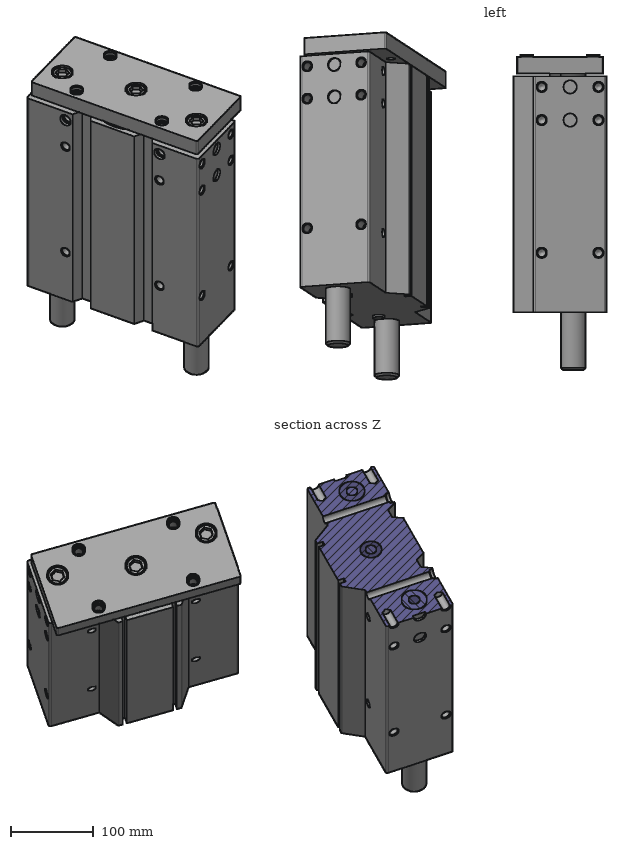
import cadquery as cq
import math


HOUSING_BOTTOM = 69.5
HOUSING_TOP = 354.0
PLATE_BOTTOM = 357.0
PLATE_TOP = 377.2
TOP = 380.0
HOUSING_HEIGHT = HOUSING_TOP - HOUSING_BOTTOM
PLATE_THICKNESS = PLATE_TOP - PLATE_BOTTOM

WIDTH = 240.0
DEPTH = 112.0
FRONT_Y = -DEPTH / 2
BACK_Y = DEPTH / 2
SHELF_Y = 32.3
CORNER_RADIUS = 2.5
RIDGE_HALF_WIDTH = 40.0
RIDGE_CORNER_RADIUS = 0.8
RIDGE_SLOPE = 35
GROOVE_INNER_X = 30.5
GROOVE_OUTER_X = 56.0
GROOVE_DEPTH = 11.8
GROOVE_WALL_ANGLE = 30
SLOT_INNER_X = 29.3
SLOT_OUTER_X = 34.2
SLOT_DEPTH = 7.5

THREAD_DIAMETER = 10.3
THREAD_MOUTH = 12.5
THREAD_CHAMFER = (THREAD_MOUTH - THREAD_DIAMETER) / 2
COUNTERBORE_DIAMETER = 15.0
HOLE_ROW_DROPS = (13.0, 52.8, 212.7)
HOLE_ROWS = [HOUSING_TOP - drop for drop in HOLE_ROW_DROPS]
FRONT_HOLE_X = 65.7
FRONT_COUNTERBORE_DEPTH = 4.5
SIDE_CENTRE_Y = -12.0
SIDE_HOLE_SPACING = 68.5
SIDE_HOLE_DEPTH = 22.8
DRILL_POINT_ANGLE = 118
PORT_DIAMETER = 16.0
PORT_DEPTH = 3.0

RECESS_DIAMETER = 100.0
RECESS_MOUTH = 102.0
RECESS_DEPTH = 2.0
FOOT_X = 63.0
FOOT_DIAMETER = 15.0
FOOT_HEIGHT = 2.5

GUIDE_X = 94.0
GUIDE_Y = -16.0
GUIDE_DIAMETER = 30.0
GUIDE_CHAMFER = 2.5
PISTON_DIAMETER = 25.0
PISTON_INSERTION = 76.0

PLATE_WIDTH = 232.5
PLATE_DEPTH = 104.0
PLATE_CORNER_RADIUS = 2.0
PLATE_HOLE_X = 59.5
PLATE_HOLE_Y = 40.0
COLLAR_DIAMETER = 15.5
PLATE_COUNTERBORE_DEPTH = 6.5

HEAD_DIAMETER = 24.0
HEAD_BORE_DIAMETER = 26.0
HEAD_CHAMFER = 1.0
HEAD_HEIGHT = 11.5
HEAD_RECESS = 1.0
SOCKET_WIDTH = 14.5
SOCKET_DEPTH = 5.7
SHANK_DIAMETER = 12.5
SHANK_LENGTH = 30.5
HEAD_TOP = PLATE_TOP - HEAD_RECESS
HEAD_SEAT = HEAD_TOP - HEAD_HEIGHT

GUIDE_POINTS = [(-GUIDE_X, GUIDE_Y), (GUIDE_X, GUIDE_Y)]
PISTON_POINT = (0, 0)
BOLT_POINTS = GUIDE_POINTS + [PISTON_POINT]


def cylinder(point, diameter, bottom, top):
    """Vertical cylinder at an XY point between two heights."""
    return cq.Workplane("XY", origin=(*point, bottom)).circle(diameter / 2).extrude(top - bottom)


def column(points):
    """Prism of an XY outline over the height of the housing."""
    base = cq.Workplane("XY").workplane(offset=HOUSING_BOTTOM)
    return base.polyline(points).close().extrude(HOUSING_HEIGHT)


def chamfered_cutter(depth, point_height=0.0):
    """Cutter along +Z from the origin: chamfered mouth, thread and an optional drill point."""
    outline = (
        cq.Workplane("XZ")
        .lineTo(THREAD_MOUTH / 2, 0)
        .lineTo(THREAD_DIAMETER / 2, THREAD_CHAMFER)
        .lineTo(THREAD_DIAMETER / 2, depth)
    )
    return outline.lineTo(0, depth + point_height).close().revolve(360, (0, 0), (0, 1))


def counterbored_cutter(depth, counterbore_depth):
    """Cutter along +Z from the origin: counterbore with a chamfered thread below it."""
    counterbore = cq.Workplane("XY").circle(COUNTERBORE_DIAMETER / 2).extrude(counterbore_depth)
    thread = chamfered_cutter(depth - counterbore_depth).translate((0, 0, counterbore_depth))
    return counterbore.union(thread)


def housing_section():
    """Filleted slab with a sloped ridge on its back, two grooves in front and two slots behind."""
    slab = (
        cq.Workplane("XY")
        .box(WIDTH, SHELF_Y - FRONT_Y, HOUSING_HEIGHT, centered=(True, False, False))
        .translate((0, FRONT_Y, HOUSING_BOTTOM))
        .edges("|Z")
        .fillet(CORNER_RADIUS)
    )
    ridge_base = RIDGE_HALF_WIDTH + (BACK_Y - SHELF_Y) * math.tan(math.radians(RIDGE_SLOPE))
    ridge = column([
        (-ridge_base, SHELF_Y),
        (ridge_base, SHELF_Y),
        (RIDGE_HALF_WIDTH, BACK_Y),
        (-RIDGE_HALF_WIDTH, BACK_Y),
    ])
    ridge = ridge.faces(">Y").edges("|Z").fillet(RIDGE_CORNER_RADIUS)
    section = slab.union(ridge)

    wall_run = GROOVE_DEPTH * math.tan(math.radians(GROOVE_WALL_ANGLE))
    for side in (-1, 1):
        groove = column([
            (side * GROOVE_INNER_X, FRONT_Y),
            (side * GROOVE_OUTER_X, FRONT_Y),
            (side * (GROOVE_OUTER_X - wall_run), FRONT_Y + GROOVE_DEPTH),
            (side * (GROOVE_INNER_X + wall_run), FRONT_Y + GROOVE_DEPTH),
        ])
        slot = column([
            (side * SLOT_INNER_X, BACK_Y),
            (side * SLOT_OUTER_X, BACK_Y),
            (side * SLOT_OUTER_X, BACK_Y - SLOT_DEPTH),
            (side * SLOT_INNER_X, BACK_Y - SLOT_DEPTH),
        ])
        section = section.cut(groove).cut(slot)
    return section


def cut_front_holes(body):
    """Threads right through in Y; the top row has a counterbore in front."""
    top_cutter = counterbored_cutter(DEPTH, FRONT_COUNTERBORE_DEPTH)
    lower_cutter = chamfered_cutter(DEPTH)
    row_cutters = [top_cutter, lower_cutter, lower_cutter]
    for z, cutter in zip(HOLE_ROWS, row_cutters):
        into_part = cutter.rotate((0, 0, 0), (1, 0, 0), -90)
        for x in (-FRONT_HOLE_X, FRONT_HOLE_X):
            body = body.cut(into_part.translate((x, FRONT_Y, z)))
    return body


def cut_side_features(body):
    """On each side: three rows of paired blind threads and two shallow ports."""
    point_height = THREAD_DIAMETER / 2 / math.tan(math.radians(DRILL_POINT_ANGLE / 2))
    cutter = chamfered_cutter(SIDE_HOLE_DEPTH, point_height)
    for side in (-1, 1):
        into_part = cutter.rotate((0, 0, 0), (0, 1, 0), -side * 90)
        x = side * WIDTH / 2
        for z in HOLE_ROWS:
            for offset in (-SIDE_HOLE_SPACING / 2, SIDE_HOLE_SPACING / 2):
                body = body.cut(into_part.translate((x, SIDE_CENTRE_Y + offset, z)))
        for z in HOLE_ROWS[:2]:
            port = (
                cq.Workplane("YZ", origin=(x, SIDE_CENTRE_Y, z))
                .circle(PORT_DIAMETER / 2)
                .extrude(-side * PORT_DEPTH)
            )
            body = body.cut(port)
    return body


def cut_bore_recess(body):
    """Shallow round recess with a chamfered mouth in the housing top."""
    recess_radius = RECESS_DIAMETER / 2
    mouth_radius = RECESS_MOUTH / 2
    recess = (
        cq.Workplane("XZ", origin=(*PISTON_POINT, HOUSING_TOP))
        .lineTo(mouth_radius, 0)
        .lineTo(recess_radius, recess_radius - mouth_radius)
        .lineTo(recess_radius, -RECESS_DEPTH)
        .lineTo(0, -RECESS_DEPTH)
        .close()
        .revolve(360, (0, 0), (0, 1))
    )
    return body.cut(recess)


def make_housing():
    body = cut_side_features(cut_front_holes(housing_section()))
    body = cut_bore_recess(body)
    for point in GUIDE_POINTS:
        body = body.cut(cylinder(point, GUIDE_DIAMETER, HOUSING_BOTTOM, HOUSING_TOP))
    body = body.cut(cylinder(PISTON_POINT, PISTON_DIAMETER, HOUSING_TOP - PISTON_INSERTION, HOUSING_TOP))
    for x in (-FOOT_X, FOOT_X):
        foot = cylinder((x, GUIDE_Y), FOOT_DIAMETER, HOUSING_BOTTOM - FOOT_HEIGHT, HOUSING_BOTTOM)
        body = body.union(foot)
    return body


def make_plate():
    """Tooling plate with four collared threads and three counterbored bolt holes."""
    body = (
        cq.Workplane("XY")
        .workplane(offset=PLATE_BOTTOM)
        .rect(PLATE_WIDTH, PLATE_DEPTH)
        .extrude(PLATE_THICKNESS)
        .edges("|Z")
        .fillet(PLATE_CORNER_RADIUS)
    )
    cutter = counterbored_cutter(TOP - PLATE_BOTTOM, PLATE_COUNTERBORE_DEPTH)
    into_part = cutter.rotate((0, 0, 0), (1, 0, 0), 180)
    for x in (-PLATE_HOLE_X, PLATE_HOLE_X):
        for y in (-PLATE_HOLE_Y, PLATE_HOLE_Y):
            body = body.union(cylinder((x, y), COLLAR_DIAMETER, PLATE_TOP, TOP))
            body = body.cut(into_part.translate((x, y, TOP)))
    for point in BOLT_POINTS:
        body = body.cut(cylinder(point, HEAD_BORE_DIAMETER, HEAD_SEAT, PLATE_TOP))
        body = body.cut(cylinder(point, SHANK_DIAMETER, PLATE_BOTTOM, HEAD_SEAT))
    return body


def tapped(rod, point):
    """Rod with the hole for the end of its bolt shank."""
    return rod.cut(cylinder(point, SHANK_DIAMETER, HEAD_SEAT - SHANK_LENGTH, PLATE_BOTTOM))


def make_guide_rod(point):
    rod = cylinder(point, GUIDE_DIAMETER, 0, PLATE_BOTTOM).faces("<Z").chamfer(GUIDE_CHAMFER)
    return tapped(rod, point)


def make_piston_rod():
    rod = cylinder(PISTON_POINT, PISTON_DIAMETER, HOUSING_TOP - PISTON_INSERTION, PLATE_BOTTOM)
    return tapped(rod, PISTON_POINT)


def make_bolt(point):
    """Socket-head bolt with a hexagon recess."""
    head = cylinder(point, HEAD_DIAMETER, HEAD_SEAT, HEAD_TOP).faces(">Z").chamfer(HEAD_CHAMFER)
    shank = cylinder(point, SHANK_DIAMETER, HEAD_SEAT - SHANK_LENGTH, HEAD_SEAT)
    socket = (
        cq.Workplane("XY", origin=(*point, HEAD_TOP))
        .polygon(6, SOCKET_WIDTH, circumscribed=True)
        .extrude(-SOCKET_DEPTH)
    )
    return head.union(shank).cut(socket)


housing = make_housing()
plate = make_plate()
piston_rod = make_piston_rod()
guide_rods = [make_guide_rod(point) for point in GUIDE_POINTS]
bolts = [make_bolt(point) for point in BOLT_POINTS]

result = cq.Compound.makeCompound([
    housing.val(),
    plate.val(),
    piston_rod.val(),
    *[rod.val() for rod in guide_rods],
    *[bolt.val() for bolt in bolts],
])